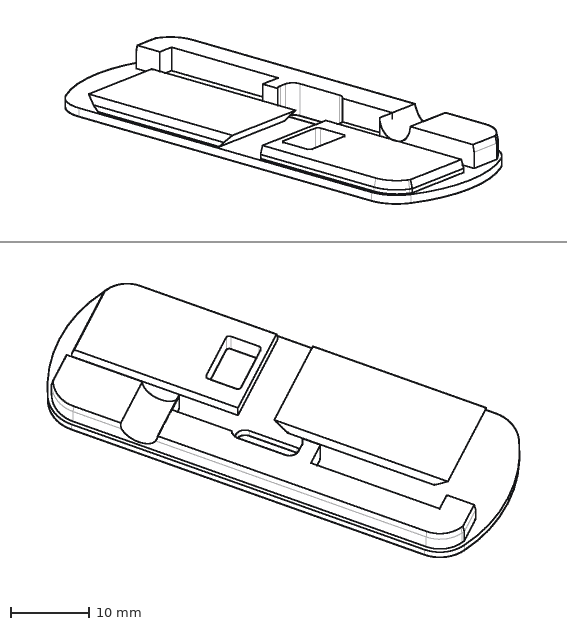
import cadquery as cq
import math

length = 62.6
width = 23.1
base_height = 1.2
end_radius = 18.8
corner_radius = 5.0

rim_inset = 0.5
rim_half_length = 28.8

rail_top = 4.4
rail_bevel_start = 3.45
rail_bevel_inset = 0.2
rail_front = 3.9
rail_left_front = 4.65
left_recess_start = -24.8
left_recess_end = -6.8
left_recess_back = 6.95
right_recess_end = 12.9
right_recess_back = 6.4

groove_radius = 2.55
groove_x = right_recess_end + groove_radius

pad_back = 1.8
pad_bevel_inset = 0.4
left_pad_top = 3.05
left_pad_bevel_start = 1.95
left_pad_start = -23.7
left_pad_end = 0.5
right_pad_top = 2.9
right_pad_bevel_start = 1.75
right_pad_start = 5.6

slot_length = 9.25
slot_width = 3.6
slot_y = 5.25
slot_corner = 1.3
window_length = 4.8
window_width = 7.2
window_x = 8.9
window_y = -4.45
window_corner = 0.45


def block(x_min, x_max, y_min, y_max, z_min, z_max):
    size = (x_max - x_min, y_max - y_min, z_max - z_min)
    return cq.Workplane("XY").box(*size, centered=False).translate((x_min, y_min, z_min))


def plate(height, inset=0):
    """Straight long sides, bowed ends and rounded corners, moved inward by inset."""
    end_center = length / 2 - end_radius
    body = cq.Workplane("XY").rect(length, width - 2 * inset).extrude(height)
    for side in (-1, 1):
        round_end = cq.Workplane("XY").center(side * end_center, 0).circle(end_radius - inset).extrude(height)
        inner_center = side * (end_center - length / 2)
        inner_side = cq.Workplane("XY").center(inner_center, 0).rect(length, width).extrude(height)
        body = body.intersect(round_end.union(inner_side))
    return body.edges("|Z").edges("<X or >X").fillet(corner_radius - inset)


def rim_envelope(bevel_start, top, bevel_inset):
    """Inset plate outline with clipped ends, leaning inward above bevel_start."""
    clip = cq.Workplane("XY").rect(2 * rim_half_length, width).extrude(bevel_start)
    lower = plate(bevel_start, rim_inset).intersect(clip)
    lean = math.degrees(math.atan2(bevel_inset, top - bevel_start))
    upper = lower.faces(">Z").wires().toPending().extrude(top - bevel_start, taper=lean, combine=False)
    return lower.union(upper)


def rail():
    half = length / 2
    outline = [
        (-half, rail_left_front),
        (left_recess_start, rail_left_front),
        (left_recess_start, left_recess_back),
        (left_recess_end, left_recess_back),
        (left_recess_end, rail_front),
        (0, rail_front),
        (0, right_recess_back),
        (right_recess_end, right_recess_back),
        (right_recess_end, rail_front),
        (half, rail_front),
        (half, width / 2),
        (-half, width / 2),
    ]
    body = cq.Workplane("XY").polyline(outline).close().extrude(rail_top)
    body = body.intersect(rim_envelope(rail_bevel_start, rail_top, rail_bevel_inset))
    groove = (
        cq.Workplane("XZ").center(groove_x, rail_top).circle(groove_radius).extrude(width, both=True)
    )
    return body.cut(groove)


def left_pad():
    """Pad whose two ends are undercut at 45 degrees."""
    undercut = left_pad_top - base_height
    profile = [
        (left_pad_start, left_pad_top),
        (left_pad_end, left_pad_top),
        (left_pad_end - undercut, base_height),
        (left_pad_start + undercut, base_height),
    ]
    body = cq.Workplane("XZ", origin=(0, pad_back, 0)).polyline(profile).close().extrude(width)
    return body.intersect(rim_envelope(left_pad_bevel_start, left_pad_top, pad_bevel_inset))


def right_pad():
    body = block(right_pad_start, length / 2, -width / 2, pad_back, 0, right_pad_top)
    return body.intersect(rim_envelope(right_pad_bevel_start, right_pad_top, pad_bevel_inset))


def opening(x, y, x_size, y_size, corner):
    body = cq.Workplane("XY").center(x, y).rect(x_size, y_size).extrude(rail_top)
    return body.edges("|Z").fillet(corner)


result = (
    plate(base_height)
    .union(rail())
    .union(left_pad())
    .union(right_pad())
    .cut(opening(0, slot_y, slot_length, slot_width, slot_corner))
    .cut(opening(window_x, window_y, window_length, window_width, window_corner))
)